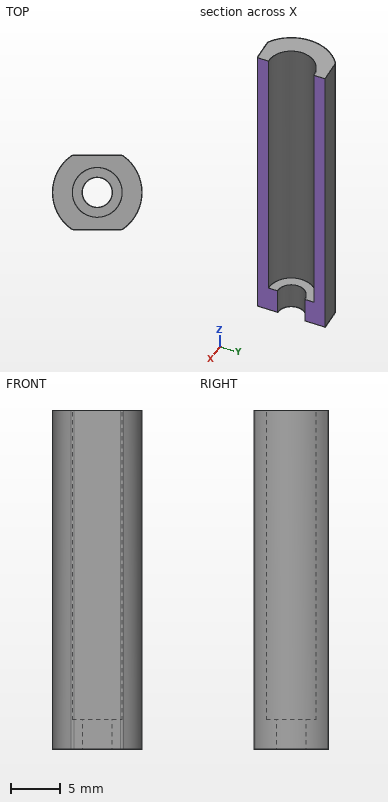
import cadquery as cq

body_diameter = 9.0
across_flats = 7.5
length = 34.0

flat_edge_radius = 0.5

counterbore_diameter = 5.0
through_diameter = 3.0
floor_thickness = 3.0


def flatted_body():
    """Round bar with two parallel flats facing -Y and +Y."""
    bar = cq.Workplane("XY").circle(body_diameter / 2).extrude(length)
    flats = cq.Workplane("XY").rect(body_diameter, across_flats).extrude(length)
    body = bar.intersect(flats)
    return body.faces("<Y or >Y").edges("|Z").fillet(flat_edge_radius)


def stepped_bore():
    """Cutting shape for the through hole and the counterbore open at the top."""
    through_hole = cq.Workplane("XY").circle(through_diameter / 2).extrude(length)
    counterbore = (
        cq.Workplane("XY")
        .workplane(offset=floor_thickness)
        .circle(counterbore_diameter / 2)
        .extrude(length - floor_thickness)
    )
    return through_hole.union(counterbore)


result = flatted_body().cut(stepped_bore())